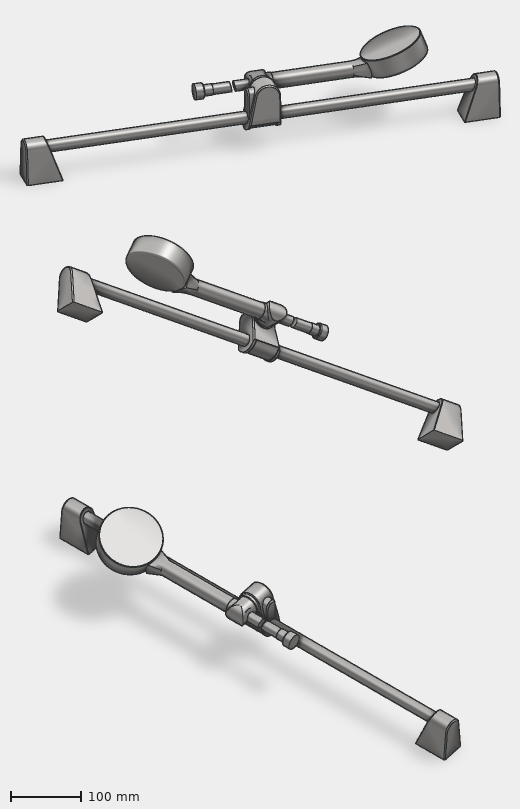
import cadquery as cq
import math

overall_length = 701.05

rail_radius = 9.0
rail_height = 49.0
rail_socket_wall = 12.0

bracket_foot_half_width = 19.0
bracket_crown_radius = 14.9
bracket_foot_length = 53.5
bracket_top_length = 31.0
bracket_edge_chamfer = 1.8
bracket_slope_chamfer = 0.8

pivot_y = 6.9
pivot_z = 84.5
pivot_radius = 19.0

slider_foot_half_width = 19.0
slider_top_half_width = 14.6
slider_band_top = 51.0
slider_band_bottom = 44.0
slider_bottom = 31.8
slider_front_lean = math.radians(12.3)
slider_groove_depth = 1.5
slider_edge_chamfer = 1.9
slider_flange_back = 5.0
slider_flange_front = 4.5

button_front_y = -20.7
button_seat_y = -6.0
button_top = 95.0
button_bottom = 50.0
button_half_width = 10.0
button_chamfer = 2.2

holder_radius = 15.7
holder_end_radius = 17.5
holder_right_x = -19.0
boss_radius = 17.6

handle_x = -33.0
handle_z = 83.2
handle_radius = 11.8
handle_end_y = -4.0
collar_back_y = 26.0
collar_root_radius = 14.0
collar_tip_radius = 12.4

hose_radius = 7.7
hose_break_y = -28.8
hose_gap = 6.0
hose_break_angle = 9.0
ferrule_y = -62.0
ferrule_radius = 8.3
nut_y = -75.0
nut_end_y = -88.0
nut_radius = 11.7
nut_chamfer = 1.5

head_roll = 10.9
head_tilt = 19.5
head_radius = 46.4
head_thickness = 31.0
head_center_y = 203.6
head_center_height = 30.67
head_rim_chamfer = 1.0
head_back_fillet = 3.5

neck_start_y = 145.0
neck_flare_y = 169.0
neck_flare_half_width = 17.0


def rod_along_y(x, z, radius, y_start, y_end):
    """Cylinder parallel to Y between two Y positions."""
    axis = cq.Vector(0, 1, 0)
    return cq.Workplane(cq.Solid.makeCylinder(radius, y_end - y_start, cq.Vector(x, y_start, z), axis))


def rod_along_x(y, z, radius, x_start, x_end):
    """Cylinder parallel to X between two X positions."""
    axis = cq.Vector(1, 0, 0)
    return cq.Workplane(cq.Solid.makeCylinder(radius, x_end - x_start, cq.Vector(x_start, y, z), axis))


def make_rail():
    rail_half_length = overall_length / 2 - rail_socket_wall
    return rod_along_y(0, rail_height, rail_radius, -rail_half_length, rail_half_length)


rail = make_rail()


def make_bracket():
    """Bracket at the -Y end of the rail."""
    outer_y = -overall_length / 2
    crown_top = rail_height + bracket_crown_radius
    foot_angle = math.atan2(rail_height, bracket_foot_half_width)
    foot_distance = math.hypot(rail_height, bracket_foot_half_width)
    tangent_angle = math.acos(bracket_crown_radius / foot_distance) - foot_angle
    tangent_x = bracket_crown_radius * math.cos(tangent_angle)
    tangent_z = rail_height + bracket_crown_radius * math.sin(tangent_angle)
    upright = (
        cq.Workplane("XZ", origin=(0, outer_y, 0))
        .moveTo(-bracket_foot_half_width, 0)
        .lineTo(bracket_foot_half_width, 0)
        .lineTo(tangent_x, tangent_z)
        .threePointArc((0, crown_top), (-tangent_x, tangent_z))
        .close()
        .extrude(-bracket_foot_length)
    )
    side_outline = (
        cq.Workplane("YZ")
        .polyline([
            (outer_y, 0),
            (outer_y + bracket_foot_length, 0),
            (outer_y + bracket_top_length, crown_top),
            (outer_y, crown_top),
        ])
        .close()
        .extrude(bracket_foot_half_width, both=True)
    )
    bracket = upright.intersect(side_outline)
    bracket = bracket.faces("<Y").edges("not <Z").chamfer(bracket_edge_chamfer)
    bracket = bracket.faces(">Y").edges("not <Z").chamfer(bracket_slope_chamfer)
    return bracket.cut(rail)


near_bracket = make_bracket()
brackets = [near_bracket, near_bracket.mirror("XZ")]


def make_button():
    arch_z = button_top - button_half_width
    plate = (
        cq.Workplane("XZ", origin=(0, button_front_y, 0))
        .moveTo(-button_half_width, button_bottom)
        .lineTo(button_half_width, button_bottom)
        .lineTo(button_half_width, arch_z)
        .threePointArc((0, button_top), (-button_half_width, arch_z))
        .close()
        .extrude(button_front_y - button_seat_y)
    )
    plate = plate.faces("<Y").edges("not <Z").chamfer(button_chamfer)
    return plate.cut(rail)


button = make_button()

slider_back_y = pivot_y + pivot_radius
slope_start_y = pivot_y - pivot_radius * math.cos(slider_front_lean)
slope_start_z = pivot_z + pivot_radius * math.sin(slider_front_lean)
slope_run = (slope_start_z - slider_bottom) * math.tan(slider_front_lean)
slider_front_y = slope_start_y - slope_run


def slider_underside(inset, y_start, y_end):
    """Rounded lower part of the clamp, below the side band."""
    half_width = slider_foot_half_width - inset
    return (
        cq.Workplane("XZ", origin=(0, y_start, 0))
        .moveTo(-half_width, slider_band_bottom)
        .threePointArc((0, slider_bottom + inset), (half_width, slider_band_bottom))
        .close()
        .extrude(y_start - y_end)
    )


def make_slider():
    pivot_top = pivot_z + pivot_radius
    side_outline = (
        cq.Workplane("YZ")
        .moveTo(slider_back_y, slider_bottom)
        .lineTo(slider_back_y, pivot_z)
        .threePointArc((pivot_y, pivot_top), (slope_start_y, slope_start_z))
        .lineTo(slider_front_y, slider_bottom)
        .close()
        .extrude(slider_foot_half_width, both=True)
    )
    slider = (
        cq.Workplane("XZ", origin=(0, slider_front_y, 0))
        .moveTo(-slider_foot_half_width, slider_band_bottom)
        .lineTo(-slider_foot_half_width, slider_band_top)
        .lineTo(-slider_top_half_width, pivot_top)
        .lineTo(slider_top_half_width, pivot_top)
        .lineTo(slider_foot_half_width, slider_band_top)
        .lineTo(slider_foot_half_width, slider_band_bottom)
        .threePointArc((0, slider_bottom), (-slider_foot_half_width, slider_band_bottom))
        .close()
        .extrude(slider_front_y - slider_back_y)
        .intersect(side_outline)
    )
    sloping_side_region = cq.selectors.BoxSelector(
        (-slider_foot_half_width, slider_front_y, slider_band_top + slider_edge_chamfer),
        (slider_foot_half_width, slider_back_y + slider_edge_chamfer, pivot_top + slider_edge_chamfer),
    )
    slider = slider.edges(sloping_side_region).edges("not #X").chamfer(slider_edge_chamfer)
    groove_start = slider_front_y + slider_flange_front
    groove_end = slider_back_y - slider_flange_back
    groove = slider_underside(0, groove_start, groove_end).cut(
        slider_underside(slider_groove_depth, groove_start, groove_end)
    )
    boss = rod_along_x(pivot_y, pivot_z, boss_radius, holder_right_x, 0)
    return slider.cut(groove).union(boss).cut(rail).cut(button)


slider = make_slider()


def make_handset():
    handle = rod_along_y(handle_x, handle_z, handle_radius, handle_end_y, neck_flare_y)
    tilt = math.radians(head_tilt)
    face_plane = cq.Plane(
        origin=(handle_x, head_center_y, handle_z + head_center_height),
        xDir=(1, 0, 0),
        normal=(0, -math.sin(tilt), math.cos(tilt)),
    )
    head = cq.Workplane(face_plane).circle(head_radius).extrude(-head_thickness)
    spray_face = cq.selectors.DirectionMinMaxSelector(face_plane.zDir, True)
    back_face = cq.selectors.DirectionMinMaxSelector(face_plane.zDir, False)
    head = head.faces(spray_face).chamfer(head_rim_chamfer)
    head = head.faces(back_face).fillet(head_back_fillet)
    neck = (
        cq.Workplane("XZ", origin=(handle_x, neck_start_y, handle_z))
        .circle(handle_radius)
        .workplane(offset=neck_start_y - neck_flare_y)
        .rect(2 * neck_flare_half_width, 2 * handle_radius)
        .loft(ruled=True)
    )
    axis_start = (handle_x, 0, handle_z)
    axis_end = (handle_x, 1, handle_z)
    return handle.union(neck).union(head).rotate(axis_start, axis_end, -head_roll)


handset = make_handset()


def make_break_block(y):
    """Block filling everything on the -Y side of a slanted break plane."""
    size = 2 * (hose_break_y - nut_end_y)
    block = cq.Workplane("XY").box(size, size, size).translate((0, -size / 2, 0))
    block = block.rotate((0, 0, 0), (1, 0, 0), hose_break_angle)
    return block.translate((handle_x, y, handle_z))


def make_upper_hose():
    hose = rod_along_y(handle_x, handle_z, hose_radius, ferrule_y, handle_end_y)
    return hose.cut(make_break_block(hose_break_y))


def make_lower_hose():
    hose = rod_along_y(handle_x, handle_z, hose_radius, ferrule_y, handle_end_y)
    return hose.intersect(make_break_block(hose_break_y - hose_gap))


upper_hose = make_upper_hose()
lower_hose = make_lower_hose()


def make_nut():
    ferrule = rod_along_y(handle_x, handle_z, ferrule_radius, nut_y, ferrule_y)
    collar = rod_along_y(handle_x, handle_z, nut_radius, nut_end_y, nut_y)
    collar = collar.faces(">Y").chamfer(nut_chamfer)
    return ferrule.union(collar)


nut = make_nut()


def make_holder():
    left_x = handle_x - holder_end_radius
    barrel = rod_along_x(pivot_y, pivot_z, holder_radius, left_x, holder_right_x)
    rounded_outline = (
        cq.Workplane("XZ", origin=(handle_x, pivot_y + holder_radius, handle_z))
        .moveTo(0, holder_end_radius)
        .threePointArc((-holder_end_radius, 0), (0, -holder_end_radius))
        .lineTo(holder_right_x - handle_x, -holder_end_radius)
        .lineTo(holder_right_x - handle_x, holder_end_radius)
        .close()
        .extrude(2 * holder_radius)
    )
    collar = cq.Workplane(
        cq.Solid.makeCone(
            collar_root_radius,
            collar_tip_radius,
            collar_back_y - pivot_y,
            cq.Vector(handle_x, pivot_y, handle_z),
            cq.Vector(0, 1, 0),
        )
    )
    holder = barrel.intersect(rounded_outline).union(collar)
    return holder.cut(handset).cut(upper_hose)


holder = make_holder()

bodies = [rail, *brackets, slider, button, holder, handset, upper_hose, lower_hose, nut]
result = cq.Compound.makeCompound([body.val() for body in bodies])